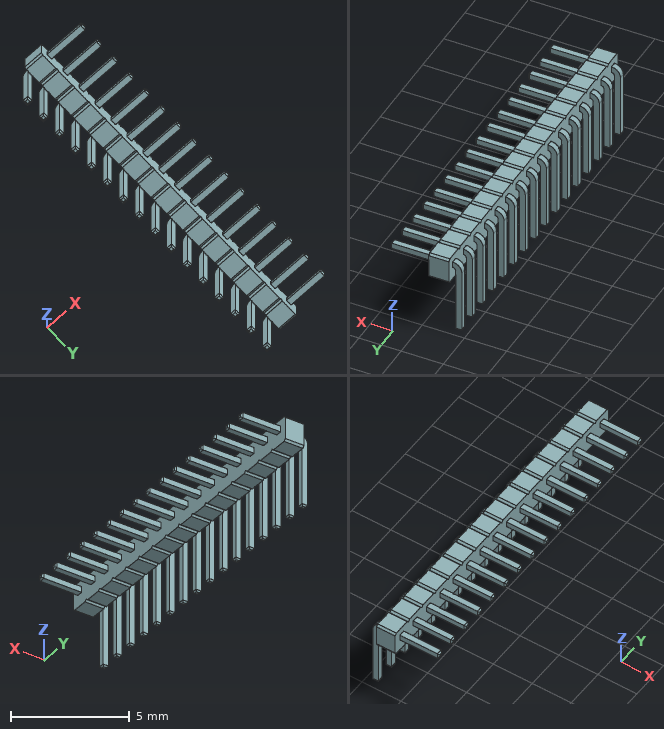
import cadquery as cq


row_length = 16.0
overall_width = 3.4
overall_height = 3.94

pin_count = 16
pitch = row_length / pin_count
housing_width = 0.96
housing_height = 1.26
cell_chamfer = 0.1

pin_size = 0.29
pin_top_drop = 0.35
pin_offset = 0.43
bend_inner_radius = 0.15
bend_outer_radius = bend_inner_radius + pin_size
tip_chamfer = 0.072

pin_outer_x = -pin_offset
pin_inner_x = pin_outer_x + pin_size
pin_end_x = pin_outer_x + overall_width
pin_top_z = -pin_top_drop
pin_under_z = pin_top_z - pin_size
pin_bottom_z = -overall_height
bend_center_x = pin_outer_x + bend_outer_radius
bend_center_z = pin_top_z - bend_outer_radius


def make_cell():
    """One housing block; its chamfered edges form the V-grooves between neighbours."""
    block = cq.Workplane("XY").box(housing_width, pitch, housing_height)
    block = block.edges("|X").chamfer(cell_chamfer)
    return block.translate((housing_width / 2, 0, -housing_height / 2))


def make_pin():
    """A square wire with a round bend and a tapered tip on each leg."""
    bent_wire = (
        cq.Workplane("XZ")
        .moveTo(pin_outer_x, pin_bottom_z)
        .lineTo(pin_outer_x, bend_center_z)
        .radiusArc((bend_center_x, pin_top_z), bend_outer_radius)
        .lineTo(pin_end_x, pin_top_z)
        .lineTo(pin_end_x, pin_under_z)
        .lineTo(bend_center_x, pin_under_z)
        .radiusArc((pin_inner_x, bend_center_z), -bend_inner_radius)
        .lineTo(pin_inner_x, pin_bottom_z)
        .close()
        .extrude(pin_size / 2, both=True)
    )
    bent_wire = bent_wire.faces(">X").chamfer(tip_chamfer)
    return bent_wire.faces("<Z").chamfer(tip_chamfer)


cell = make_cell()
pin = make_pin()
result = cq.Workplane("XY")
for index in range(pin_count):
    pin_y = (index - (pin_count - 1) / 2) * pitch
    result = result.union(cell.translate((0, pin_y, 0)))
    result = result.union(pin.translate((0, pin_y, 0)))